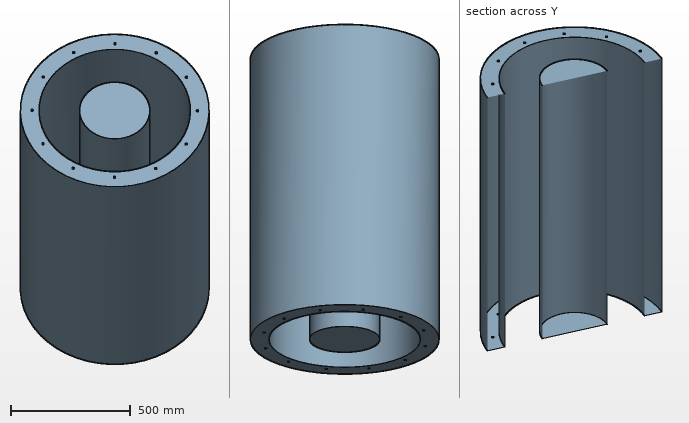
import cadquery as cq

height = 1260.0
sheet_thickness = 2.0

sleeve_diameter = 790.0
bore_diameter = 630.0

bolt_hole_diameter = 10.0
bolt_circle_diameter = 690.0
bolt_hole_count = 12
full_turn = 360.0
bolt_hole_pitch = full_turn / bolt_hole_count
first_bolt_hole_angle = bolt_hole_pitch / 2

core_diameter = 295.0


def make_cylinder(diameter, end_inset=0.0):
    """Upright cylinder, held back from both ends of the full height by end_inset."""
    return (
        cq.Workplane("XY")
        .workplane(offset=end_inset)
        .circle(diameter / 2)
        .extrude(height - 2 * end_inset)
    )


def make_bolt_holes():
    """Ring of full-height cutters for the bolt holes."""
    return (
        cq.Workplane("XY")
        .polarArray(bolt_circle_diameter / 2, first_bolt_hole_angle, full_turn, bolt_hole_count)
        .circle(bolt_hole_diameter / 2)
        .extrude(height)
    )


def make_sleeve():
    """Double-skinned tube with a ring-shaped cavity between its skins and end plates."""
    tube = make_cylinder(sleeve_diameter).cut(make_cylinder(bore_diameter))
    cavity_outside = make_cylinder(sleeve_diameter - 2 * sheet_thickness, sheet_thickness)
    cavity_inside = make_cylinder(bore_diameter + 2 * sheet_thickness, sheet_thickness)
    cavity = cavity_outside.cut(cavity_inside)
    return tube.cut(cavity).cut(make_bolt_holes())


def make_core():
    """Drum as tall as the sleeve, hollow and closed at both ends."""
    cavity = make_cylinder(core_diameter - 2 * sheet_thickness, sheet_thickness)
    return make_cylinder(core_diameter).cut(cavity)


sleeve = make_sleeve()
core = make_core()

result = cq.Compound.makeCompound([sleeve.solids().val(), core.solids().val()])